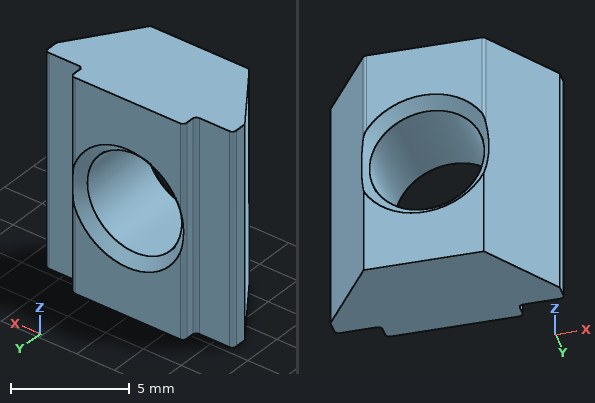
import cadquery as cq
import math

length = 11.0
width = 10.0
depth = 5.0
front_y = -depth / 2
back_y = depth / 2

tongue_width = 6.0
tongue_height = 0.8
side_height = 0.8
flank_angle = 55.0
edge_radius = 0.2

hole_diameter = 5.0
countersink_diameter = 6.01
countersink_depth = (countersink_diameter - hole_diameter) / 2

shoulder_y = back_y - tongue_height
flank_top_y = shoulder_y - side_height
flank_run = (flank_top_y - front_y) / math.tan(math.radians(flank_angle))
front_half_width = width / 2 - flank_run


def make_body():
    """Extrude the tapered profile and round the tongue and shoulder edges."""
    right_half = [
        (front_half_width, front_y),
        (width / 2, flank_top_y),
        (width / 2, shoulder_y),
        (tongue_width / 2, shoulder_y),
        (tongue_width / 2, back_y),
    ]
    left_half = [(-x, y) for x, y in reversed(right_half)]
    body = (
        cq.Workplane("XY")
        .workplane(offset=-length / 2)
        .polyline(right_half + left_half)
        .close()
        .extrude(length)
    )
    margin = edge_radius
    rear_edges = cq.selectors.BoxSelector(
        (-width, shoulder_y - margin, -length),
        (width, back_y + margin, length),
    )
    return body.edges("|Z").edges(rear_edges).fillet(edge_radius)


def make_hole():
    """Revolve the hole and its two 45 degree countersinks about the Y axis."""
    hole_radius = hole_diameter / 2
    countersink_radius = countersink_diameter / 2
    return (
        cq.Workplane("XY")
        .polyline([
            (0, front_y),
            (countersink_radius, front_y),
            (hole_radius, front_y + countersink_depth),
            (hole_radius, back_y - countersink_depth),
            (countersink_radius, back_y),
            (0, back_y),
        ])
        .close()
        .revolve(360, (0, 0, 0), (0, 1, 0))
    )


def make_front_edge_rounding(side):
    """Material outside the arc on one front edge, over the upper half only."""
    angle = math.radians(flank_angle)
    tangent_length = edge_radius * math.tan(angle / 2)
    corner = (side * front_half_width, front_y)
    front_tangent = (side * (front_half_width - tangent_length), front_y)
    flank_tangent = (
        side * (front_half_width + tangent_length * math.cos(angle)),
        front_y + tangent_length * math.sin(angle),
    )
    arc_middle = (
        side * (front_half_width - tangent_length + edge_radius * math.sin(angle / 2)),
        front_y + edge_radius * (1 - math.cos(angle / 2)),
    )
    return (
        cq.Workplane("XY")
        .moveTo(*corner)
        .lineTo(*front_tangent)
        .threePointArc(arc_middle, flank_tangent)
        .close()
        .extrude(length / 2)
    )


result = make_body().cut(make_hole())
for side in (-1, 1):
    result = result.cut(make_front_edge_rounding(side))